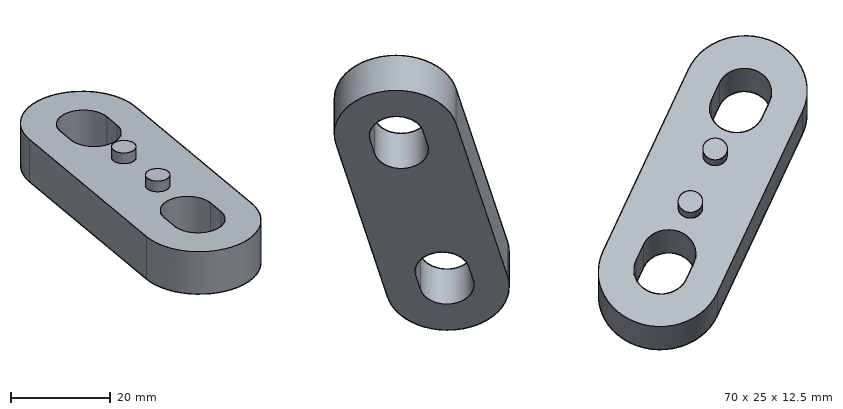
import cadquery as cq

length = 70
width = 25.0
total_height = 12.5
plate_thickness = 10.0

slot_length = 15.0
slot_width = 11.0
slot_spacing = 40.0

pin_diameter = 5.0
pin_spacing = 13.0
pin_height = total_height - plate_thickness


def make_plate():
    return cq.Workplane("XY").slot2D(length, width).extrude(plate_thickness)


def make_slots():
    centres = [(-slot_spacing / 2, 0), (slot_spacing / 2, 0)]
    slots = cq.Workplane("XY").pushPoints(centres).slot2D(slot_length, slot_width)
    return slots.extrude(plate_thickness)


def make_pins():
    centres = [(-pin_spacing / 2, 0), (pin_spacing / 2, 0)]
    top_face = cq.Workplane("XY").workplane(offset=plate_thickness)
    return top_face.pushPoints(centres).circle(pin_diameter / 2).extrude(pin_height)


result = make_plate().cut(make_slots()).union(make_pins())